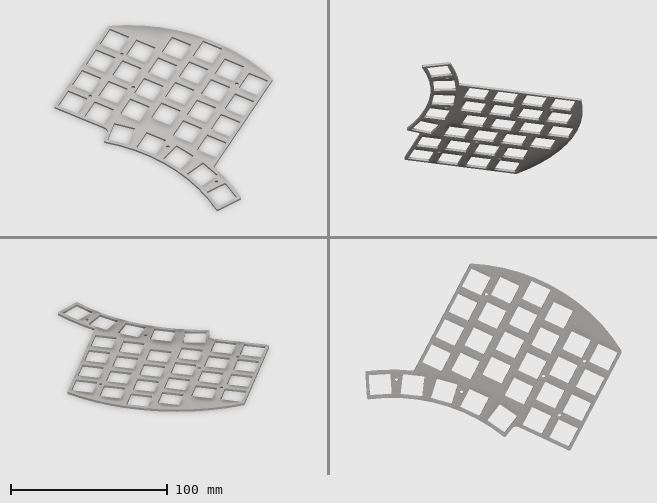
import cadquery as cq
import math

THICKNESS = 1.5
TWO_KEY_SPAN = 38.1
KEY_PITCH = TWO_KEY_SPAN / 2
KEY_SIZE = 13.9
KEY_TO_EDGE = 9.0
ROWS = 4
SCREW_DIAMETER = 2.2
CORNER_RADIUS = 1.0
INNER_CORNER_RADIUS = 3.5

COLUMN_STARTS = [0, 0, 2 / 3, 1, 2 / 3, 1 / 2]
TALLEST_COLUMN = 3

THUMB_RADIUS = 118.7
THUMB_STEP = 10
THUMB_FIRST = -10
THUMB_COUNT = 5
THUMB_X = 69.2
THUMB_TOP_Y = 2.2
THUMB_OUTER_MARGIN = 9.5

THUMB_SCREW_RADIUS = 121.8
LOWER_SCREW_X = 16.6
UPPER_LEFT_SCREW_Y = 58.3
UPPER_RIGHT_SCREW_Y = 71.0

DOME_RADIUS = 118.5
DOME_TOP_Y = 94.8

COLUMNS = len(COLUMN_STARTS)
RIGHT_X = (COLUMNS - 1) * KEY_PITCH + 2 * KEY_TO_EDGE
THUMB_LAST = THUMB_FIRST + (THUMB_COUNT - 1) * THUMB_STEP
THUMB_CENTRE_Y = THUMB_TOP_Y - THUMB_RADIUS
LOWER_RADIUS = THUMB_RADIUS - KEY_TO_EDGE
UPPER_RADIUS = THUMB_RADIUS + THUMB_OUTER_MARGIN
DOME_X = KEY_TO_EDGE + TALLEST_COLUMN * KEY_PITCH
DOME_CENTRE_Y = DOME_TOP_Y - DOME_RADIUS


def column_x(column):
    return KEY_TO_EDGE + column * KEY_PITCH


def row_y(row):
    return KEY_TO_EDGE + row * KEY_PITCH


def thumb_point(radius, lean, sideways=0.0):
    """Point on the fan at a radius, leaning right of vertical, shifted square to that direction."""
    angle = math.radians(lean)
    x = THUMB_X + radius * math.sin(angle) + sideways * math.cos(angle)
    y = THUMB_CENTRE_Y + radius * math.cos(angle) - sideways * math.sin(angle)
    return x, y


def fan_end_point(radius, lean, sideways):
    """Where a fan end edge, parallel to its key, meets an arc of the fan."""
    along = math.sqrt(radius**2 - sideways**2)
    return thumb_point(along, lean, sideways)


def dome_point(x):
    return x, DOME_CENTRE_Y + math.sqrt(DOME_RADIUS**2 - (x - DOME_X) ** 2)


def make_blank():
    lower_left = fan_end_point(LOWER_RADIUS, THUMB_FIRST, -KEY_TO_EDGE)
    lower_right = fan_end_point(LOWER_RADIUS, THUMB_LAST, KEY_TO_EDGE)
    upper_right = fan_end_point(UPPER_RADIUS, THUMB_LAST, KEY_TO_EDGE)
    neck_lean = math.degrees(math.asin((RIGHT_X - THUMB_X) / UPPER_RADIUS))
    neck = thumb_point(UPPER_RADIUS, neck_lean)
    upper_middle = thumb_point(UPPER_RADIUS, (neck_lean + THUMB_LAST) / 2)
    step_x = lower_left[0] + lower_left[1] * math.tan(math.radians(-THUMB_FIRST))
    step = (step_x, 0)

    blank = (
        cq.Workplane("XY")
        .moveTo(0, 0)
        .lineTo(*step)
        .lineTo(*lower_left)
        .threePointArc(thumb_point(LOWER_RADIUS, 0), lower_right)
        .lineTo(*upper_right)
        .threePointArc(upper_middle, neck)
        .lineTo(*dome_point(RIGHT_X))
        .threePointArc((DOME_X, DOME_TOP_Y), dome_point(0))
        .close()
        .extrude(THICKNESS)
    )
    outer_corners = [(0, 0), lower_left, lower_right, upper_right, dome_point(0)]
    for corner in outer_corners:
        blank = round_corner(blank, corner, CORNER_RADIUS)
    return round_corner(blank, step, INNER_CORNER_RADIUS)


def round_corner(body, corner, radius):
    x, y = corner
    near_corner = cq.selectors.NearestToPointSelector((x, y, THICKNESS / 2))
    return body.edges("|Z").edges(near_corner).fillet(radius)


def key_cutter(x, y, lean=0):
    cutter = cq.Workplane("XY").rect(KEY_SIZE, KEY_SIZE).extrude(THICKNESS)
    return cutter.rotate((0, 0, 0), (0, 0, 1), -lean).translate((x, y, 0))


def cut_finger_keys(plate):
    for column in range(COLUMNS):
        for row in range(ROWS):
            plate = plate.cut(key_cutter(column_x(column), row_y(COLUMN_STARTS[column] + row)))
    return plate


def cut_thumb_keys(plate):
    for key in range(THUMB_COUNT):
        lean = THUMB_FIRST + key * THUMB_STEP
        plate = plate.cut(key_cutter(*thumb_point(THUMB_RADIUS, lean), lean))
    return plate


def cut_screw_holes(plate):
    half_step = THUMB_STEP / 2
    points = [
        (column_x(0.5), UPPER_LEFT_SCREW_Y),
        (column_x(1.5), row_y(1.5)),
        (LOWER_SCREW_X, row_y(0.5)),
        (column_x(4.5), UPPER_RIGHT_SCREW_Y),
        thumb_point(THUMB_SCREW_RADIUS, half_step),
        thumb_point(THUMB_SCREW_RADIUS, THUMB_LAST - half_step),
    ]
    cutter = cq.Workplane("XY").pushPoints(points).circle(SCREW_DIAMETER / 2).extrude(THICKNESS)
    return plate.cut(cutter)


result = cut_screw_holes(cut_thumb_keys(cut_finger_keys(make_blank())))